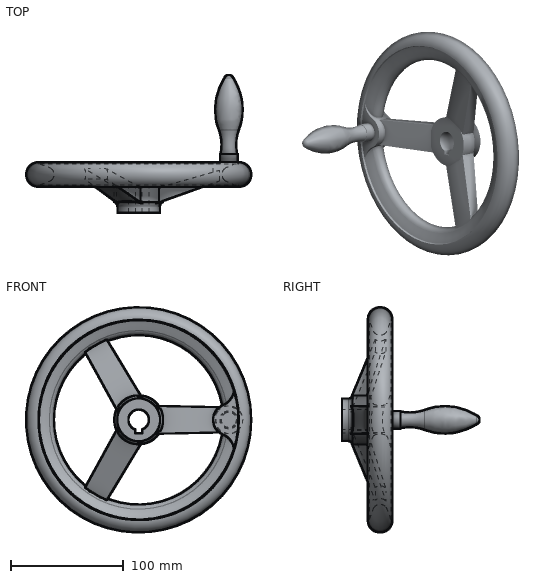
import cadquery as cq
import math


rim_outer_radius = 100.0
bead_radius = 11.0
bead_center_radius = rim_outer_radius - bead_radius
step_depth = 1.5
step_width = 0.6
web_outer_radius = bead_center_radius - step_width
web_outer_half = bead_radius - step_depth
web_inner_radius = 75.0
web_slope = math.radians(20)
web_nose_radius = 6.4

hub_face_radius = 19.0
hub_radius = 21.75
hub_length = 23.0
hub_back = -bead_radius
hub_front = hub_back - hub_length
hub_collar_length = 6.0
hub_neck_length = 9.6
bore_diameter = 18.0
key_width = 6.0
key_depth = 2.8

spoke_count = 3
spoke_start = 14.0
spoke_end = 78.0
spoke_rim_crossing = 57.0
spoke_front_slope = math.tan(math.radians(19.6))
spoke_start_width = 25.0
spoke_end_width = 22.4
spoke_start_thickness = 13.5
spoke_end_thickness = 9.0

handle_offset = 80.0
pad_radius = 14.0
pad_flare_radius = 16.0
pad_flare_lean = math.radians(22.3)

shank_radius = 8.0
shank_length = 7.3
neck_start_radius = 7.5
neck_radius = 6.7
neck_position = 17.0
grip_start = 28.4
grip_start_radius = 8.9
grip_radius = 12.4
grip_position = 47.5
grip_start_tangent = (0.4, 1)
grip_end_tangent = (-0.6, 1)
grip_end = 74.7
grip_end_radius = 4.0
handle_length = 77.37


def revolve_about_y(profile):
    return profile.close().revolve(360, (0, 0, 0), (0, 1, 0))


def make_rim():
    nose_center = web_inner_radius + web_nose_radius
    tangent_radius = nose_center - web_nose_radius * math.sin(web_slope)
    tangent_half = web_outer_half - (web_outer_radius - tangent_radius) * math.tan(web_slope)
    profile = (
        cq.Workplane("XY")
        .moveTo(bead_center_radius, -bead_radius)
        .threePointArc((rim_outer_radius, 0), (bead_center_radius, bead_radius))
        .lineTo(web_outer_radius, web_outer_half)
        .lineTo(tangent_radius, tangent_half)
        .threePointArc((web_inner_radius, 0), (tangent_radius, -tangent_half))
        .lineTo(web_outer_radius, -web_outer_half)
    )
    return revolve_about_y(profile)


def make_hub():
    neck_start = hub_front + hub_collar_length
    neck_end = hub_front + hub_neck_length
    profile = (
        cq.Workplane("XY")
        .moveTo(0, hub_front)
        .lineTo(hub_face_radius, hub_front)
        .lineTo(hub_face_radius, neck_start)
        .tangentArcPoint((hub_radius, neck_end), relative=False)
        .lineTo(hub_radius, hub_back)
        .lineTo(0, hub_back)
    )
    return revolve_about_y(profile)


def spoke_section(x, width, thickness):
    front = -bead_radius + (x - spoke_rim_crossing) * spoke_front_slope
    corners = [
        cq.Vector(x, front, -width / 2),
        cq.Vector(x, front, width / 2),
        cq.Vector(x, front + thickness, width / 2),
        cq.Vector(x, front + thickness, -width / 2),
    ]
    return cq.Wire.makePolygon(corners, close=True)


def make_spoke():
    inner = spoke_section(spoke_start, spoke_start_width, spoke_start_thickness)
    outer = spoke_section(spoke_end, spoke_end_width, spoke_end_thickness)
    return cq.Workplane(obj=cq.Solid.makeLoft([inner, outer], True))


def make_pad():
    lean_x = math.sin(pad_flare_lean)
    lean_z = math.cos(pad_flare_lean)
    round_end = (handle_offset - pad_radius * lean_x, pad_radius * lean_z)
    flare_center_x = handle_offset - (pad_radius + pad_flare_radius) * lean_x
    flare_center_z = (pad_radius + pad_flare_radius) * lean_z
    middle_angle = (pad_flare_lean - math.pi / 2) / 2
    flare_middle = (
        flare_center_x + pad_flare_radius * math.cos(middle_angle),
        flare_center_z + pad_flare_radius * math.sin(middle_angle),
    )
    flare_end = (flare_center_x + pad_flare_radius, flare_center_z)

    def below(point):
        return (point[0], -point[1])

    outline = (
        cq.Workplane("XZ")
        .moveTo(*flare_end)
        .threePointArc(flare_middle, round_end)
        .threePointArc((handle_offset - pad_radius, 0), below(round_end))
        .threePointArc(below(flare_middle), below(flare_end))
        .threePointArc((bead_center_radius, 0), flare_end)
        .close()
    )
    return outline.extrude(web_outer_half, both=True)


def make_handle():
    tip_height = handle_length - grip_end
    tip_radius = (grip_end_radius**2 + tip_height**2) / (2 * tip_height)
    profile = (
        cq.Workplane("XY", origin=(handle_offset, bead_radius, 0))
        .moveTo(0, -bead_radius)
        .lineTo(shank_radius, -bead_radius)
        .lineTo(shank_radius, shank_length)
        .lineTo(neck_start_radius, shank_length)
        .threePointArc((neck_radius, neck_position), (grip_start_radius, grip_start))
        .spline(
            [(grip_radius, grip_position), (grip_end_radius, grip_end)],
            tangents=[grip_start_tangent, grip_end_tangent],
            includeCurrent=True,
        )
        .radiusArc((0, handle_length), -tip_radius)
        .close()
    )
    return profile.revolve(360, (0, 0, 0), (0, 1, 0))


def cut_bore(body):
    bore_radius = bore_diameter / 2
    bore_plane = cq.Workplane("XZ", origin=(0, hub_back, 0))
    bore = bore_plane.circle(bore_radius).extrude(hub_length)
    key_height = bore_radius + key_depth
    key = bore_plane.center(0, -key_height / 2).rect(key_width, key_height).extrude(hub_length)
    return body.cut(bore).cut(key)


wheel = make_rim().union(make_pad()).union(make_hub())
spoke = make_spoke()
for index in range(spoke_count):
    turned_spoke = spoke.rotate((0, 0, 0), (0, 1, 0), index * 360 / spoke_count)
    wheel = wheel.union(turned_spoke)

result = cut_bore(wheel).union(make_handle())